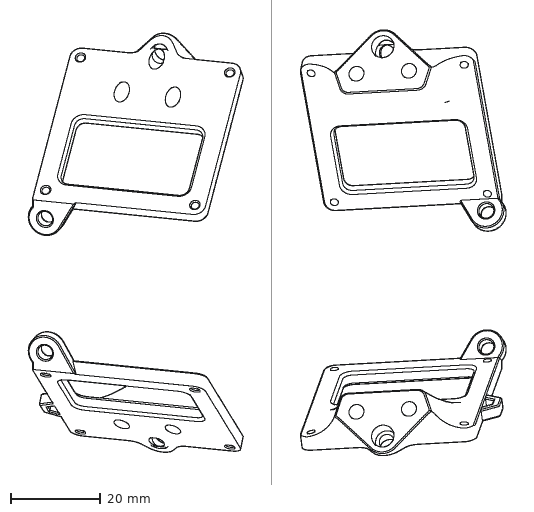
import cadquery as cq
import math

half_height = 49.5
depth = 37.0
slope = 40.0
thickness = 3.3
bend_z = 20.15
edge_chamfer = 0.3
tolerance = 0.01
reach = 60.0

sin_slope = math.sin(math.radians(slope))
cos_slope = math.cos(math.radians(slope))
tan_slope = math.tan(math.radians(slope))

plate_size = 40.0
half_size = plate_size / 2
corner_radius = 2.5
plate_low_y = 0.3
plate_extension = 10.0

block_base_half = 13.2
block_draft = 23.0
tan_draft = math.tan(math.radians(block_draft))
block_height = 18.0
block_floor_z = 34.95
block_edge_radius = 2.0
block_base_radius = 8.4
floor_edge_y = 38.0

ear_radius = 4.0
ear_z = half_height - ear_radius
ear_foot_half = 14.0
ear_fillet = 2.4
screw_diameter = 3.4
screw_spacing = 12.0
screw_drop = 6.0
insert_diameter = 5.1
insert_depth = 4.65

lug_radius = 4.0
lug_x = -17.0
lug_z = 15.9
lug_flank_angle = 60.0

window_length = 30.0
window_height = 17.3
window_centre = 26.4
window_radius = 2.0
window_chamfer = 0.66
corner_hole_diameter = 1.8
corner_hole_inset = 2.5

tab_reach = 3.8
tab_thickness = 2.85
tab_tip_half = 2.2
tab_flank_angle = 30.0
tab_centre = 15.2
tab_wall = 1.8
tab_tip_radius = 0.7

top_end_y = plate_low_y + plate_size * cos_slope
slope_plane = cq.Plane(
    origin=(0, top_end_y, bend_z + top_end_y * tan_slope),
    xDir=(1, 0, 0),
    normal=(0, -sin_slope, cos_slope),
)


def on_slope(offset=0.0):
    """Workplane parallel to the sloped face, moved out of it by the offset."""
    return cq.Workplane(slope_plane).workplane(offset=offset)


def facing_front(y=0.0):
    """Workplane with local x, y along X, Z; a negative extrusion runs toward +Y."""
    return cq.Workplane("XZ", origin=(0, y, 0))


def box_between(x0, x1, y0, y1, z0, z1):
    return cq.Workplane("XY").box(x1 - x0, y1 - y0, z1 - z0, centered=False).translate((x0, y0, z0))


def near(plane_point):
    """Selector for the edge or face whose centre is nearest a point given in the slope frame."""
    return cq.NearestToPointSelector(slope_plane.toWorldCoords(plane_point).toTuple())


def make_plate():
    middle = (plate_extension - plate_size) / 2
    plate = (
        on_slope(-thickness)
        .center(0, middle)
        .rect(plate_size, plate_size + plate_extension)
        .extrude(thickness)
    )
    plate = plate.edges(near((half_size, -plate_size, -thickness / 2))).fillet(corner_radius)
    plate = plate.edges(near((0, -plate_size, -thickness))).chamfer(edge_chamfer)
    return plate.edges(near((-half_size, middle, -thickness))).chamfer(edge_chamfer)


def make_block():
    """Drafted block on the underside, cut level at its floor."""
    top_half = block_base_half - block_height * tan_draft
    end_plane = cq.Plane(
        origin=slope_plane.toWorldCoords((0, plate_extension, -thickness)).toTuple(),
        xDir=(1, 0, 0),
        normal=slope_plane.yDir.toTuple(),
    )
    block = (
        cq.Workplane(end_plane)
        .polyline([
            (-block_base_half, 0),
            (block_base_half, 0),
            (top_half, block_height),
            (-top_half, block_height),
        ])
        .close()
        .extrude(-plate_size)
    )
    above_floor = box_between(-reach, reach, -reach, reach, block_floor_z, 2 * reach)
    return block.intersect(above_floor)


def is_foot_edge(edge):
    """True for an edge where the block's sides or floor meet the underside of the plate."""
    middle = slope_plane.toLocalCoords(edge.positionAt(0.5))
    on_underside = abs(middle.z + thickness) < tolerance
    under_block = abs(middle.x) < block_base_half + tolerance
    inside_plate = -half_size < middle.y < plate_extension - tolerance
    return on_underside and under_block and inside_plate


def make_outline():
    """Prism square to the plate with rounded top corners, joined to the ear prism along Y."""
    outline = on_slope(-reach / 2).center(0, -half_size).rect(plate_size, plate_size).extrude(reach)
    for side in (-1, 1):
        outline = outline.edges(near((side * half_size, 0, 0))).fillet(corner_radius)
    touch = ear_radius * math.sqrt(0.5)
    foot_z = ear_z + 2 * touch - ear_foot_half
    ear = (
        facing_front()
        .moveTo(-touch, ear_z + touch)
        .threePointArc((0, half_height), (touch, ear_z + touch))
        .lineTo(ear_foot_half, foot_z)
        .lineTo(-ear_foot_half, foot_z)
        .close()
        .extrude(-reach)
    )
    outline = outline.union(ear)
    corner_x = (2 * touch + ear_foot_half) / 2
    corner_z = ear_z + 2 * touch - corner_x
    corner_y = top_end_y + (slope_plane.origin.z - corner_z) * tan_slope
    corner = cq.NearestToPointSelector((corner_x, corner_y, corner_z))
    return outline.edges(corner).fillet(ear_fillet)


def make_lug():
    """Upright lug below the plate's low left corner, trimmed under the sloped face."""
    side_rise = math.sqrt(lug_radius**2 - (lug_x + half_size) ** 2)
    flank = math.radians(lug_flank_angle)
    touch_x = lug_x + lug_radius * math.sin(flank)
    touch_z = lug_z - lug_radius * math.cos(flank)
    top_z = bend_z + thickness
    lug = (
        facing_front()
        .moveTo(-half_size, top_z)
        .lineTo(-half_size, lug_z + side_rise)
        .threePointArc((lug_x, lug_z - lug_radius), (touch_x, touch_z))
        .lineTo(touch_x + (top_z - touch_z) / math.tan(flank), top_z)
        .close()
        .extrude(-thickness)
        .faces("<Y or >Y")
        .edges()
        .chamfer(edge_chamfer)
    )
    below_face = on_slope(-reach).rect(2 * reach, 2 * reach).extrude(reach)
    return lug.intersect(below_face)


def make_screw_holes():
    """Three holes along Y; the ear's one widens from the back for an insert."""
    low_z = ear_z - screw_drop
    centres = [(0, ear_z), (-screw_spacing / 2, low_z), (screw_spacing / 2, low_z)]
    holes = facing_front().pushPoints(centres).circle(screw_diameter / 2).extrude(-reach)
    insert = (
        facing_front(depth)
        .center(0, ear_z)
        .circle(insert_diameter / 2)
        .extrude(insert_depth)
    )
    return holes.union(insert)


def make_lug_hole():
    """Hole through the lug, flared by a chamfer at both faces."""
    flare_radius = screw_diameter / 2 + edge_chamfer
    return (
        cq.Workplane("XY")
        .polyline([
            (0, 0),
            (flare_radius, 0),
            (screw_diameter / 2, edge_chamfer),
            (screw_diameter / 2, thickness - edge_chamfer),
            (flare_radius, thickness),
            (0, thickness),
        ])
        .close()
        .revolve(360, (0, 0), (0, 1))
        .translate((lug_x, 0, lug_z))
    )


def make_corner_holes():
    """Through holes at the plate corners, flared on the sloped face."""
    pitch = plate_size - 2 * corner_hole_inset
    radius = corner_hole_diameter / 2
    holes = (
        on_slope()
        .center(0, -half_size)
        .rect(pitch, pitch, forConstruction=True)
        .vertices()
        .circle(radius)
        .extrude(-thickness * 2)
    )
    flares = (
        on_slope()
        .center(0, -half_size)
        .rect(pitch, pitch, forConstruction=True)
        .vertices()
        .circle(radius + edge_chamfer)
        .extrude(-radius - edge_chamfer, taper=45)
    )
    return holes.union(flares)


def make_window():
    """Rounded window through the plate."""
    return (
        on_slope(-thickness)
        .center(0, -window_centre)
        .rect(window_length, window_height)
        .extrude(thickness)
        .edges(cq.selectors.ParallelDirSelector(slope_plane.zDir))
        .fillet(window_radius)
    )


def cut_window(body):
    """Cut the window and chamfer its rim on both faces of the plate."""
    body = body.cut(make_window())
    for face_z in (0, -thickness):
        rim = near((0, window_height / 2 - window_centre, face_z))
        body = body.edges(rim).chamfer(window_chamfer)
    return body


def make_tab():
    """Side tab with a strap opening that follows its outline at an even wall width."""
    rise = math.tan(math.radians(tab_flank_angle))
    wall_rise = tab_wall / math.cos(math.radians(tab_flank_angle))
    base_half = tab_tip_half + tab_reach * rise
    root_half = base_half - wall_rise
    slot_tip_half = root_half - (tab_reach - tab_wall) * rise

    def trapezoid(base, tip, length):
        return (
            on_slope(-tab_thickness)
            .center(-half_size, -tab_centre)
            .polyline([(0, -base), (0, base), (-length, tip), (-length, -tip)])
            .close()
            .extrude(tab_thickness)
        )

    tab = trapezoid(base_half, tab_tip_half, tab_reach)
    for side in (-1, 1):
        tip = near((-half_size - tab_reach, side * tab_tip_half - tab_centre, -tab_thickness / 2))
        tab = tab.edges(tip).fillet(tab_tip_radius)
    tab = tab.cut(trapezoid(root_half, slot_tip_half, tab_reach - tab_wall))
    flat_faces = cq.selectors.ParallelDirSelector(slope_plane.zDir)
    outside_plate = cq.selectors.BoxSelector(
        (-reach, -reach, -reach), (-half_size - tolerance, reach, 2 * reach)
    )
    return tab.faces(flat_faces).edges(outside_plate).chamfer(edge_chamfer)


def make_bracket():
    body = make_plate().union(make_block())
    foot_edges = [edge for edge in body.edges().vals() if is_foot_edge(edge)]
    body = body.newObject(foot_edges).fillet(block_base_radius)
    for side in (-1, 1):
        floor_edge = cq.NearestToPointSelector((side * block_base_half, floor_edge_y, block_floor_z))
        body = body.edges(floor_edge).fillet(block_edge_radius)
    body = body.intersect(make_outline())
    body = body.intersect(box_between(-reach, reach, -reach, depth, -reach, reach))
    body = body.faces(">Y").edges().chamfer(edge_chamfer)
    body = body.union(make_lug())
    body = body.cut(make_lug_hole()).cut(make_screw_holes()).cut(make_corner_holes())
    return cut_window(body)


upper_bracket = make_bracket()
lower_bracket = make_bracket().union(make_tab()).mirror("XY")
result = cq.Compound.makeCompound([upper_bracket.val(), lower_bracket.val()])